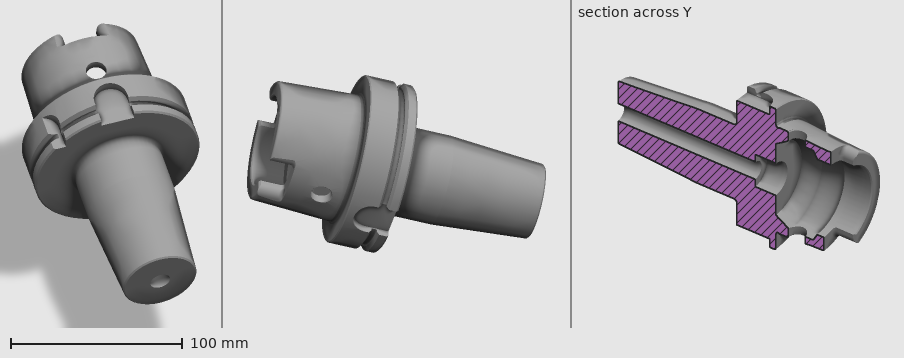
import cadquery as cq
import math

total_length = 165.0

shank_length = 50.0
taper_large_radius = 37.8
taper_end_x = 47.8
taper_ratio = 0.05
taper_small_radius = taper_large_radius - taper_ratio * taper_end_x
shank_rim_round = 1.5
relief_radius = 37.3
relief_fillet = 0.8
relief_lip_length = 0.3
relief_lip_radius = 39.1

flange_radius = 50.0
flange_end_x = 78.7
flange_front_chamfer = 0.7
flange_back_chamfer = 1.0

groove_center_x = 70.0
groove_mouth_half_width = 3.1
groove_floor_half_width = 1.6
groove_wall_radius = 47.5
groove_floor_radius = 45.9
groove_floor_fillet = 0.5

neck_radius = 53.0 / 2
neck_fillet = 2.0
neck_end_x = 107.4
nose_tip_radius = 22.3
nose_tip_chamfer = 0.8

mouth_bore_radius = 53.0 / 2
mouth_chamfer = 0.7
mouth_bore_end_x = 20.0
undercut_radius = 31.5
undercut_start_x = 23.0
undercut_end_x = 40.0
bore_floor_radius = 25.0
bore_floor_x = shank_length

axial_hole_diameter = 12.0
coolant_recess_diameter = 22.5
coolant_recess_depth = 15.0
cross_hole_diameter = 12.0
cross_hole_x = 34.8
cross_hole_chamfer = 0.5

drive_slot_half_width = 10.0
upper_drive_slot_depth = 10.0
lower_drive_slot_depth = 15.0
drive_slot_start = 16.5
drive_slot_straight_height = 27.0
drive_slot_edge_round = 5.0
drive_slot_floor_fillet = 2.0
drive_slot_mouth_chamfer = 1.3

keyway_width = 20.0
keyway_center_x = 64.7
keyway_floor = 44.0
notch_face = 31.5


def revolve_around_x(points):
    """Solid of revolution about X from (x, radius) points that start and end on the axis."""
    return cq.Workplane("XY").polyline(points).close().revolve(360, (0, 0, 0), (1, 0, 0))


def make_body():
    relief_lip_x = shank_length - relief_lip_length
    groove_wall_left = groove_center_x - groove_floor_half_width
    groove_wall_right = groove_center_x + groove_floor_half_width
    bend = math.sqrt(0.5)
    outline = (
        cq.Workplane("XY")
        .lineTo(0, taper_small_radius - shank_rim_round)
        .threePointArc(
            (shank_rim_round * (1 - bend), taper_small_radius - shank_rim_round * (1 - bend)),
            (shank_rim_round, taper_small_radius + taper_ratio * shank_rim_round),
        )
        .lineTo(taper_end_x, taper_large_radius)
        .lineTo(taper_end_x, relief_radius)
        .lineTo(relief_lip_x - relief_fillet, relief_radius)
        .radiusArc((relief_lip_x, relief_radius + relief_fillet), -relief_fillet)
        .lineTo(shank_length, relief_lip_radius)
        .lineTo(shank_length, flange_radius - flange_front_chamfer)
        .lineTo(shank_length + flange_front_chamfer, flange_radius)
        .lineTo(groove_center_x - groove_mouth_half_width, flange_radius)
        .lineTo(groove_wall_left, groove_wall_radius)
        .lineTo(groove_wall_left, groove_floor_radius + groove_floor_fillet)
        .radiusArc((groove_wall_left + groove_floor_fillet, groove_floor_radius), -groove_floor_fillet)
        .lineTo(groove_wall_right - groove_floor_fillet, groove_floor_radius)
        .radiusArc((groove_wall_right, groove_floor_radius + groove_floor_fillet), -groove_floor_fillet)
        .lineTo(groove_wall_right, groove_wall_radius)
        .lineTo(groove_center_x + groove_mouth_half_width, flange_radius)
        .lineTo(flange_end_x - flange_back_chamfer, flange_radius)
        .lineTo(flange_end_x, flange_radius - flange_back_chamfer)
        .lineTo(flange_end_x, neck_radius + neck_fillet)
        .radiusArc((flange_end_x + neck_fillet, neck_radius), -neck_fillet)
        .lineTo(neck_end_x, neck_radius)
        .lineTo(total_length - nose_tip_chamfer, nose_tip_radius)
        .lineTo(total_length, nose_tip_radius - nose_tip_chamfer)
        .lineTo(total_length, 0)
        .close()
    )
    return outline.revolve(360, (0, 0, 0), (1, 0, 0))


def make_clamping_bore():
    return revolve_around_x([
        (0, 0),
        (0, mouth_bore_radius + mouth_chamfer),
        (mouth_chamfer, mouth_bore_radius),
        (mouth_bore_end_x, mouth_bore_radius),
        (undercut_start_x, undercut_radius),
        (undercut_end_x, undercut_radius),
        (bore_floor_x, bore_floor_radius),
        (bore_floor_x, 0),
    ])


def make_axial_holes():
    through_hole = cq.Workplane("YZ").circle(axial_hole_diameter / 2).extrude(total_length)
    recess_end_x = bore_floor_x + coolant_recess_depth
    recess = cq.Workplane("YZ").circle(coolant_recess_diameter / 2).extrude(recess_end_x)
    return through_hole.union(recess)


def make_cross_hole():
    """Hole along Z through both shank walls, with a small countersink at each outer end."""
    outer_radius = taper_small_radius + taper_ratio * cross_hole_x
    hole_radius = cross_hole_diameter / 2
    countersunk_radius = hole_radius + cross_hole_chamfer
    half_hole = (
        cq.Workplane("XZ", origin=(cross_hole_x, 0, 0))
        .lineTo(hole_radius, 0)
        .lineTo(hole_radius, outer_radius - cross_hole_chamfer)
        .lineTo(countersunk_radius, outer_radius)
        .lineTo(countersunk_radius, flange_radius)
        .lineTo(0, flange_radius)
        .close()
        .revolve(360, (0, 0, 0), (0, 1, 0))
    )
    return half_hole.union(half_hole.mirror("XY"))


def make_drive_slot(depth):
    """Slot at +Z in the shank mouth: rounded side walls, filleted floor, chamfered entry."""
    shoulder_half_width = drive_slot_half_width + drive_slot_edge_round
    shoulder_height = drive_slot_straight_height + drive_slot_edge_round
    slot = (
        cq.Workplane("YZ")
        .moveTo(-drive_slot_half_width, drive_slot_start)
        .lineTo(drive_slot_half_width, drive_slot_start)
        .lineTo(drive_slot_half_width, drive_slot_straight_height)
        .radiusArc((shoulder_half_width, shoulder_height), drive_slot_edge_round)
        .lineTo(flange_radius, shoulder_height)
        .lineTo(flange_radius, flange_radius)
        .lineTo(-flange_radius, flange_radius)
        .lineTo(-flange_radius, shoulder_height)
        .lineTo(-shoulder_half_width, shoulder_height)
        .radiusArc((-drive_slot_half_width, drive_slot_straight_height), drive_slot_edge_round)
        .close()
        .extrude(depth)
        .faces(">X")
        .edges()
        .fillet(drive_slot_floor_fillet)
    )
    entry_half_width = drive_slot_half_width + drive_slot_mouth_chamfer
    entry = (
        cq.Workplane("XY", origin=(0, 0, drive_slot_start))
        .moveTo(0, -entry_half_width)
        .lineTo(drive_slot_mouth_chamfer, -drive_slot_half_width)
        .lineTo(drive_slot_mouth_chamfer, drive_slot_half_width)
        .lineTo(0, entry_half_width)
        .close()
        .extrude(flange_radius - drive_slot_start)
    )
    return slot.union(entry)


def make_keyway(center_y, floor_z):
    """Round-ended slot milled along Z, open at the back face of the flange."""
    run_length = flange_end_x - keyway_center_x
    height = flange_radius - floor_z
    base = cq.Workplane("XY", origin=(keyway_center_x, center_y, floor_z))
    round_end = base.circle(keyway_width / 2).extrude(height)
    straight = base.center(run_length / 2, 0).rect(run_length, keyway_width).extrude(height)
    return round_end.union(straight)


result = make_body()
result = result.cut(make_clamping_bore())
result = result.cut(make_axial_holes())
result = result.cut(make_cross_hole())
result = result.cut(make_drive_slot(upper_drive_slot_depth))
result = result.cut(make_drive_slot(lower_drive_slot_depth).mirror("XY"))

keyway = make_keyway(0, keyway_floor)
result = result.cut(keyway)
result = result.cut(keyway.mirror("XY"))

result = result.cut(make_keyway(-notch_face - keyway_width / 2, notch_face))